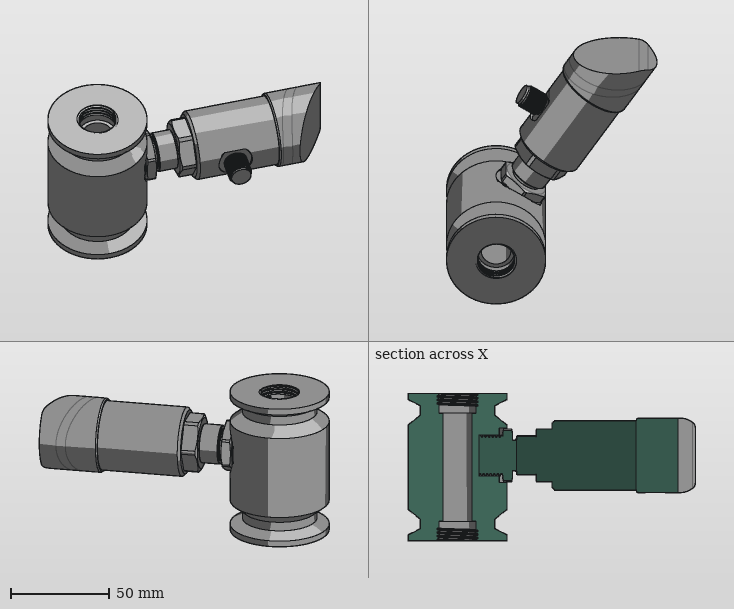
import cadquery as cq
import math


BODY_LENGTH = 75.0
BODY_DIA = 50.5
BODY_NECK_DIA = 38.0
FLANGE_RIM = 3.15
FLANGE_TAPER = 3.2
NECK_LENGTH = 4.65
SHOULDER_TAPER = 5.0
BORE_DIA = 15.0
PORT_DIA = 19.0
PORT_DEPTH = 10.0

PIPE_PITCH = 1.814
PIPE_MAJOR_DIA = 20.9
PORT_THREAD_TURNS = 4
PORT_THREAD_RUN = 6.3
PORT_THREAD_ANGLE = 40.0

ADAPTER_HEX_FLATS = 24.0
ADAPTER_HEX_DIA = 27.0
ADAPTER_HEX_FACE_DIA = 23.0
ADAPTER_HEX_BEVEL = 0.5
ADAPTER_HEX_BOTTOM = 22.9
ADAPTER_HEX_TOP = 28.0
ADAPTER_NECK_DIA = 15.9
ADAPTER_COLLAR_DIA = 16.5
ADAPTER_COLLAR_HEIGHT = 0.5
STEM_BOTTOM = 11.0
STEM_THREAD_TURNS = 7
SPOTFACE_DIA = 27.6
SPOTFACE_LEVEL = 21.2

SLEEVE_BOTTOM = 30.0
SLEEVE_DIA = 20.0
SLEEVE_CHAMFER = 0.4
SENSOR_HEX_BOTTOM = 40.0
SENSOR_HEX_FLATS = 27.0
SENSOR_HEX_DIA = 30.0
SENSOR_HEX_FACE_DIA = 26.0
SENSOR_HEX_BEVEL = 0.8
BARREL_BOTTOM = 48.0
BARREL_TOP = 90.9
BARREL_DIA = 35.5
BARREL_CHAMFER = 1.4

CONNECTOR_Y = 68.0
CONNECTOR_SEAT_X = 16.35
CONNECTOR_SEAT_DIA = 17.6
CONNECTOR_END_X = 28.68
CONNECTOR_CORE_DIA = 10.3
CONNECTOR_DIA = 12.0
CONNECTOR_PITCH = 1.0
CONNECTOR_THREAD_DEPTH = 0.6
CONNECTOR_THREAD_START_X = 17.2
CONNECTOR_THREAD_END_X = 27.5

CAP_DIA = 38.0
CAP_FOOT_DIA = 37.0
CAP_FOOT_HEIGHT = 0.8
CAP_TOP = 121.0
CAP_CORNER_X = -11.0
CAP_CORNER_RADIUS = 8.0
CAP_SLANT_MID = (6.0, 109.4)
CAP_SLANT_END_Y = 101.5
SEAM_HEIGHTS = (112.3, 102.8, 97.7)
SEAM_SPACING = 4.9

SENSOR_Z = 6.0

THREAD_FLANK_ANGLE = 20.0
THREAD_ROOT_SHARE = 0.25
OVERRUN = 0.1


def turned(profile):
    """Solid of revolution about the Y axis from (radius, y) points."""
    return cq.Workplane("XY").polyline(profile).close().revolve(360, (0, 0, 0), (0, 1, 0))


def thread_groove(pitch, turns, surface_radius, root_radius):
    """Flat-rooted helical cutter about Z, starting at z = 0 on the +X side."""
    inward = 1 if root_radius < surface_radius else -1
    mouth_radius = surface_radius + inward * OVERRUN
    half_root = pitch * THREAD_ROOT_SHARE / 2
    flank_spread = abs(mouth_radius - root_radius) * math.tan(math.radians(THREAD_FLANK_ANGLE))
    half_mouth = half_root + flank_spread
    helix = cq.Wire.makeHelix(pitch, pitch * turns, surface_radius)
    profile = cq.Workplane("XZ").polyline([
        (mouth_radius, -half_mouth),
        (root_radius, -half_root),
        (root_radius, half_root),
        (mouth_radius, half_mouth),
    ]).close()
    return profile.sweep(cq.Workplane(helix), isFrenet=True)


def hexagon(bottom, top, flats, corner_dia, face_dia, bevel, top_bevelled):
    """Hexagon along Y with turned-down corners and bevelled ends; two flats face +Z and -Z."""
    prism = (
        cq.Workplane("XZ", origin=(0, bottom, 0))
        .polygon(6, flats / math.cos(math.pi / 6))
        .extrude(bottom - top)
    )
    outline = [(0, bottom), (face_dia / 2, bottom), (corner_dia / 2, bottom + bevel)]
    if top_bevelled:
        outline += [(corner_dia / 2, top - bevel), (face_dia / 2, top)]
    else:
        outline.append((corner_dia / 2, top))
    outline.append((0, top))
    return prism.intersect(turned(outline))


def make_flow_body():
    half = BODY_LENGTH / 2
    rim_z = half - FLANGE_RIM
    neck_top_z = rim_z - FLANGE_TAPER
    neck_bottom_z = neck_top_z - NECK_LENGTH
    barrel_z = neck_bottom_z - SHOULDER_TAPER
    upper = [
        (BODY_DIA / 2, half),
        (BODY_DIA / 2, rim_z),
        (BODY_NECK_DIA / 2, neck_top_z),
        (BODY_NECK_DIA / 2, neck_bottom_z),
        (BODY_DIA / 2, barrel_z),
    ]
    lower = [(r, -z) for r, z in reversed(upper)]
    outline = [(0, half)] + upper + lower + [(0, -half)]
    body = cq.Workplane("XZ").polyline(outline).close().revolve(360, (0, 0, 0), (0, 1, 0))
    body = body.cut(cq.Workplane("XY").circle(BORE_DIA / 2).extrude(half, both=True))

    port = (
        cq.Workplane("XY", origin=(0, 0, half - PORT_DEPTH))
        .circle(PORT_DIA / 2)
        .extrude(PORT_DEPTH + PIPE_PITCH)
    )
    groove = (
        thread_groove(PIPE_PITCH, PORT_THREAD_TURNS, PORT_DIA / 2, PIPE_MAJOR_DIA / 2)
        .rotate((0, 0, 0), (0, 0, 1), PORT_THREAD_ANGLE)
        .translate((0, 0, half - PORT_THREAD_RUN))
    )
    threaded_port = port.union(groove)
    for turn in (0, 180):
        body = body.cut(threaded_port.rotate((0, 0, 0), (1, 0, 0), turn))

    stem_hole = turned([
        (0, STEM_BOTTOM),
        (PIPE_MAJOR_DIA / 2, STEM_BOTTOM),
        (PIPE_MAJOR_DIA / 2, SPOTFACE_LEVEL),
        (SPOTFACE_DIA / 2, SPOTFACE_LEVEL),
        (SPOTFACE_DIA / 2, ADAPTER_HEX_TOP),
        (0, ADAPTER_HEX_TOP),
    ])
    return body.cut(stem_hole.translate((0, 0, SENSOR_Z)))


def make_adapter():
    hex_head = hexagon(
        ADAPTER_HEX_BOTTOM, ADAPTER_HEX_TOP, ADAPTER_HEX_FLATS,
        ADAPTER_HEX_DIA, ADAPTER_HEX_FACE_DIA, ADAPTER_HEX_BEVEL, top_bevelled=True,
    ).rotate((0, 0, 0), (0, 1, 0), 90)
    groove = thread_groove(PIPE_PITCH, STEM_THREAD_TURNS, PIPE_MAJOR_DIA / 2, PORT_DIA / 2)
    stem = (
        cq.Workplane("XY")
        .circle(PIPE_MAJOR_DIA / 2)
        .extrude(ADAPTER_HEX_TOP - STEM_BOTTOM)
        .cut(groove)
        .rotate((0, 0, 0), (1, 0, 0), -90)
        .translate((0, STEM_BOTTOM, 0))
    )
    neck = turned([
        (0, ADAPTER_HEX_TOP),
        (ADAPTER_NECK_DIA / 2, ADAPTER_HEX_TOP),
        (ADAPTER_NECK_DIA / 2, SLEEVE_BOTTOM - ADAPTER_COLLAR_HEIGHT),
        (ADAPTER_COLLAR_DIA / 2, SLEEVE_BOTTOM - ADAPTER_COLLAR_HEIGHT),
        (ADAPTER_COLLAR_DIA / 2, SLEEVE_BOTTOM),
        (0, SLEEVE_BOTTOM),
    ])
    return stem.union(hex_head).union(neck)


def make_sensor_housing():
    sleeve = turned([
        (0, SLEEVE_BOTTOM),
        (SLEEVE_DIA / 2 - SLEEVE_CHAMFER, SLEEVE_BOTTOM),
        (SLEEVE_DIA / 2, SLEEVE_BOTTOM + SLEEVE_CHAMFER),
        (SLEEVE_DIA / 2, SENSOR_HEX_BOTTOM - SLEEVE_CHAMFER),
        (SLEEVE_DIA / 2 - SLEEVE_CHAMFER, SENSOR_HEX_BOTTOM),
        (0, SENSOR_HEX_BOTTOM),
    ])
    hex_flange = hexagon(
        SENSOR_HEX_BOTTOM, BARREL_BOTTOM, SENSOR_HEX_FLATS,
        SENSOR_HEX_DIA, SENSOR_HEX_FACE_DIA, SENSOR_HEX_BEVEL, top_bevelled=False,
    )
    barrel = turned([
        (0, BARREL_BOTTOM),
        (BARREL_DIA / 2 - BARREL_CHAMFER, BARREL_BOTTOM),
        (BARREL_DIA / 2, BARREL_BOTTOM + BARREL_CHAMFER),
        (BARREL_DIA / 2, BARREL_TOP),
        (0, BARREL_TOP),
    ])
    connector_seat = (
        cq.Workplane("YZ", origin=(CONNECTOR_SEAT_X, CONNECTOR_Y, 0))
        .circle(CONNECTOR_SEAT_DIA / 2)
        .extrude(BARREL_DIA / 2)
    )
    return barrel.cut(connector_seat).union(hex_flange).union(sleeve)


def make_connector():
    core_radius = CONNECTOR_CORE_DIA / 2
    thread_radius = CONNECTOR_DIA / 2
    end_chamfer = thread_radius - core_radius
    length = CONNECTOR_END_X - CONNECTOR_SEAT_X
    thread_start = CONNECTOR_THREAD_START_X - CONNECTOR_SEAT_X
    thread_end = CONNECTOR_THREAD_END_X - CONNECTOR_SEAT_X
    outline = turned([
        (0, 0),
        (core_radius, 0),
        (core_radius, thread_start),
        (thread_radius, thread_start),
        (thread_radius, thread_end - end_chamfer),
        (core_radius, thread_end),
        (core_radius, length),
        (0, length),
    ])
    turns = (thread_end - thread_start) / CONNECTOR_PITCH
    root_radius = thread_radius - CONNECTOR_THREAD_DEPTH
    groove = (
        thread_groove(CONNECTOR_PITCH, turns, thread_radius, root_radius)
        .rotate((0, 0, 0), (1, 0, 0), -90)
        .translate((0, thread_start, 0))
    )
    threaded_bar = cq.Workplane("XZ").circle(thread_radius).extrude(-length).cut(groove)
    return (
        threaded_bar.intersect(outline)
        .rotate((0, 0, 0), (0, 0, 1), -90)
        .translate((CONNECTOR_SEAT_X, CONNECTOR_Y, 0))
    )


def make_cap():
    radius = CAP_DIA / 2
    blank = turned([
        (0, BARREL_TOP),
        (CAP_FOOT_DIA / 2, BARREL_TOP),
        (radius, BARREL_TOP + CAP_FOOT_HEIGHT),
        (radius, CAP_TOP),
        (0, CAP_TOP),
    ])
    slant = (
        cq.Workplane("XY")
        .moveTo(CAP_CORNER_X, CAP_TOP)
        .threePointArc(CAP_SLANT_MID, (radius, CAP_SLANT_END_Y))
        .lineTo(radius, CAP_TOP)
        .close()
        .extrude(radius, both=True)
    )
    cap = blank.cut(slant)
    slant_corner = cq.selectors.NearestToPointSelector((CAP_CORNER_X, CAP_TOP, 0))
    cap = cap.edges(slant_corner).fillet(CAP_CORNER_RADIUS)

    left, middle, right = SEAM_HEIGHTS
    for drop in (0, SEAM_SPACING):
        above_seam = (
            cq.Workplane("XY")
            .moveTo(-radius, left - drop)
            .threePointArc((0, middle - drop), (radius, right - drop))
            .lineTo(CAP_DIA, right - drop)
            .lineTo(CAP_DIA, CAP_DIA + CAP_TOP)
            .lineTo(-CAP_DIA, CAP_DIA + CAP_TOP)
            .lineTo(-CAP_DIA, left - drop)
            .close()
            .extrude(CAP_DIA, both=True)
        )
        upper = cap.intersect(above_seam, clean=False)
        lower = cap.cut(above_seam, clean=False)
        cap = lower.union(upper, clean=False)
    return cap


flow_body = make_flow_body()
adapter = make_adapter().translate((0, 0, SENSOR_Z))
sensor_housing = make_sensor_housing().translate((0, 0, SENSOR_Z))
connector = make_connector().translate((0, 0, SENSOR_Z))
cap = make_cap().translate((0, 0, SENSOR_Z))

result = cq.Compound.makeCompound([
    flow_body.solids().val(),
    adapter.solids().val(),
    sensor_housing.solids().val(),
    connector.solids().val(),
    cap.solids().val(),
])